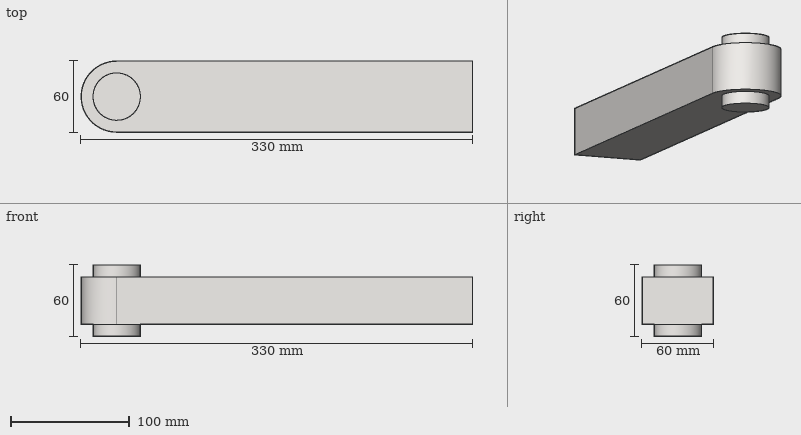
import cadquery as cq

total_length = 330.0
arm_width = 60.0
arm_thickness = 40.0
pin_diameter = 40.0
pin_length = 60.0

end_radius = arm_width / 2
straight_length = total_length - end_radius


def make_arm():
    """Flat bar with a full round around the pin axis and a square far end."""
    return (
        cq.Workplane("XY")
        .moveTo(0, -end_radius)
        .lineTo(straight_length, -end_radius)
        .lineTo(straight_length, end_radius)
        .lineTo(0, end_radius)
        .threePointArc((-end_radius, 0), (0, -end_radius))
        .close()
        .extrude(arm_thickness / 2, both=True)
    )


def make_pin():
    """Pivot pin standing out equally above and below the arm."""
    return cq.Workplane("XY").circle(pin_diameter / 2).extrude(pin_length / 2, both=True)


result = make_arm().union(make_pin())